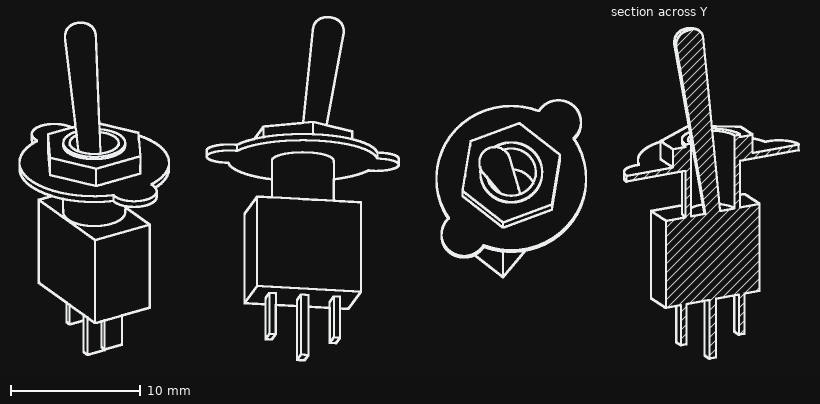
import cadquery as cq
import math


body_length = 8.2
body_width = 5.0
body_height = 7.2

bushing_diameter = 4.8
bore_diameter = 3.8
bushing_top = 13.2

washer_bottom = 11.0
washer_thickness = 0.5
washer_radius = 5.8
ear_radius = 1.75

nut_across_flats = 7.0
nut_height = 1.5

terminal_pitch = 2.54
terminal_width = 1.6
side_terminal_thickness = 0.5
side_terminal_length = 3.3
middle_terminal_thickness = 0.6
middle_terminal_length = 4.83

lever_tilt = 8.0
lever_length = 15.51
lever_pivot_radius = 0.66
lever_tip_radius = 1.25
lever_tip_rounding = 1.0
lever_embedded_depth = 1.0


def make_body():
    return cq.Workplane("XY").box(body_length, body_width, body_height, centered=(True, True, False))


def make_washer():
    plane = cq.Workplane("XY").workplane(offset=washer_bottom)
    disc = plane.circle(washer_radius).extrude(washer_thickness)
    ear_centers = [(-washer_radius, 0), (washer_radius, 0)]
    ears = plane.pushPoints(ear_centers).circle(ear_radius).extrude(washer_thickness)
    return disc.union(ears)


def make_nut():
    across_corners = nut_across_flats / math.cos(math.radians(30))
    nut = cq.Workplane("XY").polygon(6, across_corners).extrude(nut_height)
    nut = nut.rotate((0, 0, 0), (0, 0, 1), 90)
    return nut.translate((0, 0, washer_bottom + washer_thickness))


def make_bushing_cylinder(diameter):
    """Cylinder from the top of the body to the top of the bushing."""
    plane = cq.Workplane("XY").workplane(offset=body_height)
    return plane.circle(diameter / 2).extrude(bushing_top - body_height)


def make_terminal(x, thickness, length):
    terminal = cq.Workplane("XY").box(thickness, terminal_width, length, centered=(True, True, False))
    return terminal.translate((x, 0, -length))


def make_lever():
    taper = (lever_tip_radius - lever_pivot_radius) / lever_length
    bottom_radius = lever_pivot_radius - taper * lever_embedded_depth
    lever = (
        cq.Workplane("XZ")
        .moveTo(0, -lever_embedded_depth)
        .lineTo(bottom_radius, -lever_embedded_depth)
        .lineTo(lever_tip_radius, lever_length)
        .lineTo(0, lever_length)
        .close()
        .revolve(360, (0, 0, 0), (0, 1, 0))
        .faces(">Z")
        .edges()
        .fillet(lever_tip_rounding)
    )
    lever = lever.rotate((0, 0, 0), (0, 1, 0), -lever_tilt)
    return lever.translate((0, 0, body_height))


result = make_body().union(make_bushing_cylinder(bushing_diameter))
result = result.union(make_washer()).union(make_nut())
result = result.cut(make_bushing_cylinder(bore_diameter))
result = result.union(make_lever())
result = result.union(make_terminal(0, middle_terminal_thickness, middle_terminal_length))
for side in (-1, 1):
    side_terminal = make_terminal(side * terminal_pitch, side_terminal_thickness, side_terminal_length)
    result = result.union(side_terminal)